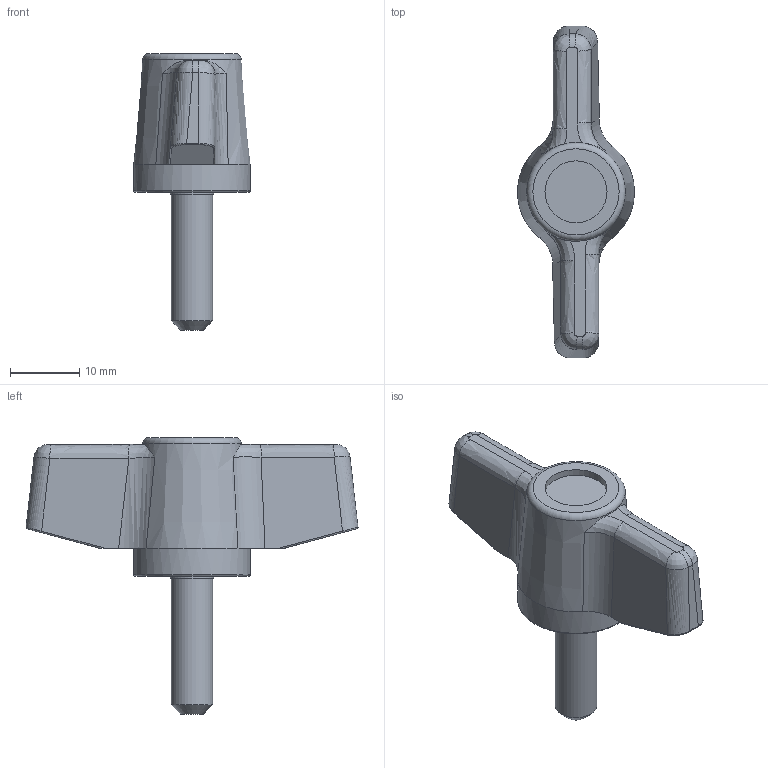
import cadquery as cq
import math

stud_length = 20.0
collar_height = 4.0
hub_top = 20.0
wing_top = 19.0

collar_radius = 16.9 / 2
hub_foot_radius = collar_radius
hub_draft = 5.0
hub_edge_radius = 0.9
recess_diameter = 8.96
recess_depth = 1.0

stud_radius = 6.0 / 2
stud_tip_radius = 1.6
stud_tip_height = stud_radius - stud_tip_radius
neck_radius = 3.15
neck_height = 0.3

wing_half_span = 48.0 / 2
upright_side = 3.3
sloped_side_at_top = 2.02
wing_side_draft = 5.0
wing_end_draft = 6.5
underside_start = 13.3
underside_angle = 15.0

wing_end_radius = 2.3
wing_top_radius = 2.0
hub_blend_radius = 5.0
lower_edge_radius = 0.2

joint_margin = 1.0
foot_margin = 0.01


def slope(degrees):
    return math.tan(math.radians(degrees))


def on_both_sides(body):
    """The body together with its copy turned half a turn about Z."""
    return body.union(body.rotate((0, 0, 0), (0, 0, 1), 180))


def make_cone(top):
    """Tapered hub from the collar up to the given level."""
    top_radius = hub_foot_radius - (top - collar_height) * slope(hub_draft)
    return (
        cq.Workplane("YZ")
        .moveTo(0, collar_height)
        .lineTo(hub_foot_radius, collar_height)
        .lineTo(top_radius, top)
        .lineTo(0, top)
        .close()
        .revolve(360, (0, 0, 0), (0, 1, 0))
    )


def wing_section(sloped_side, tip):
    """Corners of a level section through the -Y wing."""
    return [(upright_side, 0), (upright_side, -tip), (-sloped_side, -tip), (-sloped_side, 0)]


def make_wing():
    """Wing toward -Y: upright on its +X side, drafted on its -X side and at its tip."""
    height = wing_top - collar_height
    tip_rise = (wing_half_span - underside_start) * slope(underside_angle)
    tip_at_foot = wing_half_span + tip_rise * slope(wing_end_draft)
    tip_at_top = tip_at_foot - height * slope(wing_end_draft)
    sloped_side_at_foot = sloped_side_at_top + height * slope(wing_side_draft)

    wing = (
        cq.Workplane("XY", origin=(0, 0, collar_height))
        .polyline(wing_section(sloped_side_at_foot, tip_at_foot))
        .close()
        .workplane(offset=height)
        .polyline(wing_section(sloped_side_at_top, tip_at_top))
        .close()
        .loft(ruled=True, combine=True)
    )
    mid_height = collar_height + height / 2
    for side in (-upright_side, upright_side):
        corner = cq.selectors.NearestToPointSelector((side, -wing_half_span, mid_height))
        wing = wing.edges(corner).fillet(wing_end_radius)
    return wing


def make_underside_wedge():
    """Wedge to remove below the rising underside of the -Y wing."""
    reach = 2 * wing_half_span
    rise = (reach - underside_start) * slope(underside_angle)
    return (
        cq.Workplane("YZ")
        .moveTo(-underside_start, collar_height)
        .lineTo(-reach, collar_height + rise)
        .lineTo(-reach, collar_height)
        .close()
        .extrude(collar_radius, both=True)
    )


def round_undersides(handle):
    """Round the sides and tip of both rising undersides, leaving their inner edges sharp."""
    angle = math.radians(underside_angle)
    above_foot = cq.selectors.BoxSelector(
        (-collar_radius, -2 * wing_half_span, collar_height + foot_margin),
        (collar_radius, 2 * wing_half_span, wing_top),
    )
    for side in (-1, 1):
        facing = cq.Vector(0, side * math.sin(angle), -math.cos(angle))
        underside = handle.faces(cq.selectors.ParallelDirSelector(facing))
        handle = underside.edges().edges(above_foot).fillet(lower_edge_radius)
    return handle


def make_handle():
    """Wings blended into a hub that stops at wing height, rounded along the whole top edge."""
    handle = make_cone(wing_top).union(on_both_sides(make_wing()))
    joints = cq.selectors.BoxSelector(
        (-collar_radius, -collar_radius, collar_height + joint_margin),
        (collar_radius, collar_radius, wing_top - joint_margin),
    )
    handle = handle.edges(joints).edges("not #Z").fillet(hub_blend_radius)
    handle = handle.faces(">Z").edges().fillet(wing_top_radius)
    handle = handle.cut(on_both_sides(make_underside_wedge()))
    return round_undersides(handle)


def make_hub():
    """Full-height cone with a rounded rim, standing on the collar."""
    cone = make_cone(hub_top).faces(">Z").edges().fillet(hub_edge_radius)
    collar = cq.Workplane("XY").circle(collar_radius).extrude(collar_height)
    collar = collar.faces("<Z").edges().fillet(lower_edge_radius)
    return cone.union(collar)


def make_stud():
    """Stud with a short neck under the collar and a conical tip."""
    return (
        cq.Workplane("XZ")
        .moveTo(0, 0)
        .lineTo(neck_radius, 0)
        .lineTo(neck_radius, -neck_height)
        .lineTo(stud_radius, -neck_height)
        .lineTo(stud_radius, stud_tip_height - stud_length)
        .lineTo(stud_tip_radius, -stud_length)
        .lineTo(0, -stud_length)
        .close()
        .revolve(360, (0, 0, 0), (0, 1, 0))
    )


def make_recess():
    """Shallow round recess in the top of the hub."""
    return (
        cq.Workplane("XY", origin=(0, 0, hub_top - recess_depth))
        .circle(recess_diameter / 2)
        .extrude(recess_depth)
    )


result = make_handle().union(make_hub()).union(make_stud()).cut(make_recess())